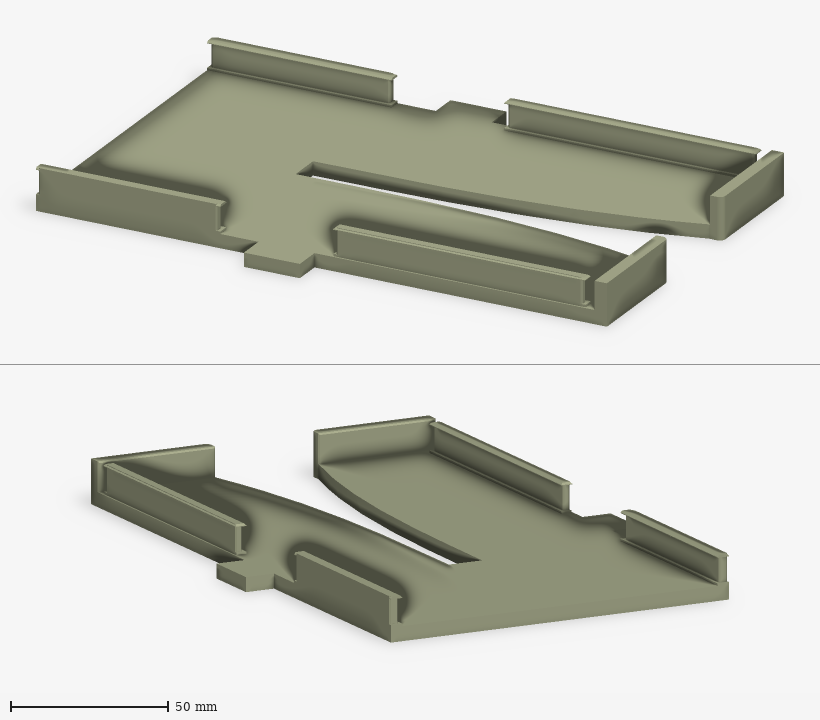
import cadquery as cq

length = 205.0
body_width = 121.4
base_thickness = 5.0
total_height = 15.0
upright_height = total_height - base_thickness

total_width = 141.5
tab_start = 80.0
tab_length = 20.0

stop_thickness = 5.0
stop_start = length - stop_thickness
stop_corner_radius = 2.0
stop_bevel = 0.51

slot_start = 64.5
slot_half_width = 6.0
mouth_half_width = 18.5

rail_width = 4.0
flange_thickness = 0.8
flange_bevel = 0.6
web_corner_bevel = 0.51
inner_overhang = 1.0
start_overhang = 0.8
end_overhang = 1.2
rear_rail_start = 0.0
rear_rail_length = 66.2
front_rail_start = 106.5
front_rail_length = 90.5
front_rail_setback = 0.2
front_rail_outer_overhang = 0.5


def box(start_x, start_y, start_z, size_x, size_y, size_z):
    """Box placed by its lowest corner."""
    corner = (start_x, start_y, start_z)
    return cq.Workplane("XY").box(size_x, size_y, size_z, centered=False).translate(corner)


def make_slot():
    """Slot cutter whose half width grows with the cube of the distance along it."""
    third = (stop_start - slot_start) / 3

    def flare(side):
        inner = side * slot_half_width
        return [
            (slot_start, inner),
            (slot_start + third, inner),
            (slot_start + 2 * third, inner),
            (stop_start, side * mouth_half_width),
        ]

    outline = (
        cq.Workplane("XY")
        .moveTo(slot_start, -slot_half_width)
        .bezier(flare(-1))
        .lineTo(length, -mouth_half_width)
        .lineTo(length, mouth_half_width)
        .lineTo(stop_start, mouth_half_width)
        .bezier(flare(1)[::-1])
        .close()
    )
    return outline.extrude(total_height)


def make_plate():
    """Plate with its two side tabs, split by the slot."""
    plate = box(0, -body_width / 2, 0, stop_start, body_width, base_thickness)
    tabs = box(tab_start, -total_width / 2, 0, tab_length, total_width, base_thickness)
    return plate.union(tabs).cut(make_slot())


def make_stop():
    """Stop on the -Y arm: bevelled around its inner face, rounded at the mouth of the slot."""
    outer = -body_width / 2
    stop_width = body_width / 2 - mouth_half_width
    foot = box(stop_start, outer, 0, stop_thickness, stop_width, base_thickness)
    upright = box(stop_start, outer, base_thickness, stop_thickness, stop_width, upright_height)
    bevelled = upright.faces("<X").edges("not <Z").chamfer(stop_bevel)
    return foot.union(bevelled).edges("|Z and >X and >Y").fillet(stop_corner_radius)


def make_rail(start_x, rail_length, setback, outer_overhang, bevelled_edges):
    """Rail on the -Y arm: a web between a thin foot and a thin top flange."""
    flange_outer = setback - body_width / 2
    flange_width = rail_width - setback
    flange_start_z = total_height - flange_thickness
    web_outer = flange_outer + outer_overhang
    foot_width = flange_width - outer_overhang
    web_width = foot_width - inner_overhang
    web_start = start_x + start_overhang
    web_length = rail_length - start_overhang - end_overhang

    foot = box(start_x, web_outer, base_thickness, rail_length, foot_width, flange_thickness)
    web = box(web_start, web_outer, base_thickness, web_length, web_width, upright_height)
    web = web.edges("|Z").chamfer(web_corner_bevel)
    flange = box(start_x, flange_outer, flange_start_z, rail_length, flange_width, flange_thickness)
    flange = flange.faces(">Z").edges(bevelled_edges).chamfer(flange_bevel)
    return web.union(foot).union(flange)


rear_rail = make_rail(rear_rail_start, rear_rail_length, 0, 0, "|X")
front_rail = make_rail(
    front_rail_start,
    front_rail_length,
    front_rail_setback,
    front_rail_outer_overhang,
    "|X or |Y",
)

result = make_plate()
for upright in (make_stop(), rear_rail, front_rail):
    result = result.union(upright).union(upright.mirror("XZ"))